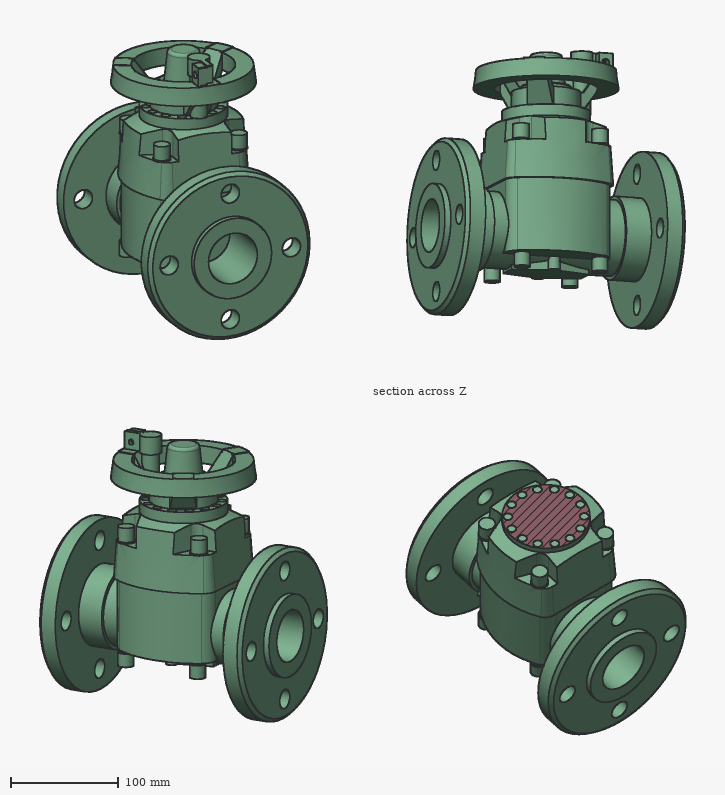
import cadquery as cq
import math


end_x = 115.0
flange_radius = 82.5
flange_outer_x = 109.0
flange_inner_x = 90.5
flange_chamfer = 3.5
raised_face_radius = 39.5
sleeve_radius = 39.2
sleeve_inner_x = 65.5
pipe_radius = 35.9
bore_radius = 24.8
bore_end_x = 51.2
flange_hole_radius = 9.2
flange_hole_circle = 62.2
flange_hole_count = 4

body_half_x = 51.5
body_half_y = 55.8
body_corner_y = 38.0
body_bottom = -26.5
body_corner_fillet = 15.4
bonnet_corner_fillet = 12.8
parting_z = 42.5
bonnet_side_overhang = 2.0
bonnet_front_overhang = 2.8
bonnet_draft = 4.0
neck_radius = 41.2
neck_base = 104.5
neck_top = 115.3
roof_slope = 0.33

bolt_offset = 39.2
bolt_head_radius = 7.7
bolt_washer_radius = 8.2
bolt_washer_height = 1.3
bolt_top = 94.0
nut_x = 38.7
nut_y = 40.5
nut_radius = 7.5
nut_bottom = -41.0
nut_neck_radius = 6.7
nut_gap = 1.5
pocket_floor = 79.0
pocket_side_y = 27.2
pocket_fillet_x = 36.5
pocket_wall_angle = 20.0
pocket_fillet = 10.0

foot_bottom = -38.5
foot_half_x = 38.5
foot_end_half_y = 11.3
foot_middle_half_y = 21.8
foot_boss_radius = 5.6

index_count = 14
index_radius = 4.0
index_circle = 35.5
index_depth = 5.5

hub_radius = 32.3
hub_top = 133.7
rim_bottom = 137.3
rim_top = 154.5
rim_bottom_radius = 68.0
rim_top_radius = 65.5
rim_inner_radius = 48.5
spoke_top = 155.2
spoke_foot = 116.5
spoke_start = 32.8
spoke_inner_width = 25.0
spoke_outer_width = 19.5
spoke_count = 3

collar_radius = 23.5
collar_top = 139.3
collar_chamfer = 1.0
stem_base_radius = 18.2
stem_top_radius = 14.9
stem_top = 169.8
stem_fillet = 3.5

lock_x = 35.5
lock_head_radius = 10.2
lock_pin_radius = 8.2
lock_top = 173.7
lock_head_bottom = 156.5
lug_end_x = 62.2
lug_start_x = 48.5
lug_front_y = -12.0
lug_back_y = -3.0
lug_top = 173.0
lug_chamfer = 0.8
strap_back_y = 2.8
lug_hole_radius = 3.3
strap_hole_radius = 2.5
lug_hole_x = 55.0
lug_hole_z = 164.0


def cylinder(radius, bottom, top, x=0, y=0):
    return cq.Workplane("XY", origin=(x, y, bottom)).circle(radius).extrude(top - bottom)


def box(x_range, y_range, z_range):
    size = [high - low for low, high in (x_range, y_range, z_range)]
    corner = (x_range[0], y_range[0], z_range[0])
    return cq.Workplane("XY").box(*size, centered=False).translate(corner)


def four_corners(shape):
    """The shape and its mirror images in the XZ and YZ planes."""
    pair = shape.union(shape.mirror("XZ"))
    return pair.union(pair.mirror("YZ"))


def rounded_block(z_range, half_x, corner_y, half_y, corner_fillet):
    """Block with flat sides in X, bulging sides in Y and rounded upright edges."""
    bottom, top = z_range
    sharp = (
        cq.Workplane("XY", origin=(0, 0, bottom))
        .moveTo(-half_x, -corner_y)
        .threePointArc((0, -half_y), (half_x, -corner_y))
        .lineTo(half_x, corner_y)
        .threePointArc((0, half_y), (-half_x, corner_y))
        .close()
        .extrude(top - bottom)
    )
    return sharp.edges("|Z").fillet(corner_fillet)


def pipe_end():
    """Pipe, sleeve, bolted flange and raised face on the +X side."""
    profile = [
        (0, 0),
        (0, pipe_radius),
        (sleeve_inner_x, pipe_radius),
        (sleeve_inner_x, sleeve_radius),
        (flange_inner_x, sleeve_radius),
        (flange_inner_x, flange_radius),
        (flange_outer_x - flange_chamfer, flange_radius),
        (flange_outer_x, flange_radius - flange_chamfer),
        (flange_outer_x, raised_face_radius),
        (end_x, raised_face_radius),
        (end_x, 0),
    ]
    turned = cq.Workplane("XY").polyline(profile).close().revolve(360, (0, 0, 0), (1, 0, 0))
    holes = (
        cq.Workplane("YZ", origin=(flange_inner_x, 0, 0))
        .polarArray(flange_hole_circle, 0, 360, flange_hole_count)
        .circle(flange_hole_radius)
        .extrude(flange_outer_x - flange_inner_x)
    )
    return turned.cut(holes)


def bore():
    return cq.Workplane("YZ", origin=(bore_end_x, 0, 0)).circle(bore_radius).extrude(end_x - bore_end_x)


def body():
    return rounded_block(
        (body_bottom, parting_z), body_half_x, body_corner_y, body_half_y, body_corner_fillet
    )


def corner_pocket():
    """Recess in the (-X, -Y) corner of the bonnet, open to both faces."""
    angle = math.radians(pocket_wall_angle)
    center_y = -pocket_side_y - pocket_fillet
    tangent_x = -pocket_fillet_x + pocket_fillet * math.cos(angle)
    tangent_y = center_y + pocket_fillet * math.sin(angle)
    middle = math.radians((pocket_wall_angle + 90) / 2)
    middle_x = -pocket_fillet_x + pocket_fillet * math.cos(middle)
    middle_y = center_y + pocket_fillet * math.sin(middle)
    outside = 2 * body_half_x
    front_x = tangent_x + (outside + tangent_y) * math.tan(angle)
    return (
        cq.Workplane("XY", origin=(0, 0, pocket_floor))
        .moveTo(-outside, -pocket_side_y)
        .lineTo(-pocket_fillet_x, -pocket_side_y)
        .threePointArc((middle_x, middle_y), (tangent_x, tangent_y))
        .lineTo(front_x, -outside)
        .lineTo(-outside, -outside)
        .close()
        .extrude(neck_top - pocket_floor)
    )


def bonnet():
    """Tapered cover with a conical roof and a pocket at each corner."""
    height = neck_base - parting_z
    straight_block = rounded_block(
        (parting_z, neck_base),
        body_half_x + bonnet_side_overhang,
        body_corner_y + bonnet_front_overhang,
        body_half_y + bonnet_front_overhang,
        bonnet_corner_fillet,
    )
    base_wire = straight_block.faces("<Z").wires().val()
    block = (
        cq.Workplane("XY", origin=(0, 0, parting_z))
        .newObject([base_wire])
        .toPending()
        .extrude(height, taper=bonnet_draft)
    )
    roof_radius = 2 * body_half_x
    roof_edge_z = neck_base - roof_slope * (roof_radius - neck_radius)
    roof_profile = [
        (0, parting_z),
        (roof_radius, parting_z),
        (roof_radius, roof_edge_z),
        (neck_radius, neck_base),
        (0, neck_base),
    ]
    roof = cq.Workplane("XZ").polyline(roof_profile).close().revolve()
    return block.intersect(roof).cut(four_corners(corner_pocket()))


def corner_bolts():
    """Bolt heads in the bonnet pockets and nuts under the body."""
    washer_top = pocket_floor + bolt_washer_height
    head = cylinder(bolt_head_radius, pocket_floor, bolt_top, -bolt_offset, -bolt_offset)
    washer = cylinder(bolt_washer_radius, pocket_floor, washer_top, -bolt_offset, -bolt_offset)
    nut = cylinder(nut_radius, nut_bottom, body_bottom - nut_gap, -nut_x, -nut_y)
    nut_neck = cylinder(nut_neck_radius, nut_bottom, body_bottom, -nut_x, -nut_y)
    return four_corners(head.union(washer).union(nut).union(nut_neck))


def foot():
    """Mounting foot tapering along X, with a round boss on each broad side."""
    outline = [
        (-foot_half_x, -foot_end_half_y),
        (0, -foot_middle_half_y),
        (foot_half_x, -foot_end_half_y),
        (foot_half_x, foot_end_half_y),
        (0, foot_middle_half_y),
        (-foot_half_x, foot_end_half_y),
    ]
    shape = cq.Workplane("XY", origin=(0, 0, foot_bottom)).polyline(outline).close()
    shape = shape.extrude(body_bottom - foot_bottom)
    for y in (-foot_middle_half_y, foot_middle_half_y):
        shape = shape.union(cylinder(foot_boss_radius, foot_bottom, body_bottom, 0, y))
    return shape


def neck():
    """Round neck with a ring of blind index holes in its top face."""
    holes = (
        cq.Workplane("XY", origin=(0, 0, neck_top - index_depth))
        .polarArray(index_circle, 0, 360, index_count)
        .circle(index_radius)
        .extrude(index_depth)
    )
    return cylinder(neck_radius, neck_base, neck_top).cut(holes)


def spoke():
    """Rising spoke on the +X side, ending in a pad set into the rim."""
    rim_middle = (rim_inner_radius + rim_top_radius) / 2
    rise = spoke_top - hub_top
    slope = rise / (rim_inner_radius - spoke_start)
    under_end_z = spoke_foot + slope * (rim_middle - spoke_start)
    side_profile = [
        (0, spoke_foot),
        (spoke_start, spoke_foot),
        (rim_middle, under_end_z),
        (rim_middle, spoke_top),
        (rim_inner_radius, spoke_top),
        (spoke_start, hub_top),
        (0, hub_top),
    ]
    side = (
        cq.Workplane("XZ")
        .polyline(side_profile)
        .close()
        .extrude(spoke_inner_width / 2, both=True)
    )
    hub_chord_x = math.sqrt(hub_radius**2 - (spoke_inner_width / 2) ** 2)
    plan = (
        cq.Workplane("XY", origin=(0, 0, spoke_foot))
        .moveTo(hub_chord_x, -spoke_inner_width / 2)
        .lineTo(rim_inner_radius, -spoke_outer_width / 2)
        .lineTo(rim_middle, -spoke_outer_width / 2)
        .lineTo(rim_middle, spoke_outer_width / 2)
        .lineTo(rim_inner_radius, spoke_outer_width / 2)
        .lineTo(hub_chord_x, spoke_inner_width / 2)
        .close()
        .extrude(spoke_top - spoke_foot)
    )
    half_width = spoke_outer_width / 2
    pad = box((rim_inner_radius, rim_bottom_radius), (-half_width, half_width), (rim_bottom, spoke_top))
    return side.intersect(plan).union(pad.intersect(cylinder(rim_top_radius, rim_bottom, spoke_top)))


def handwheel():
    rim_profile = [
        (rim_inner_radius, rim_bottom),
        (rim_bottom_radius, rim_bottom),
        (rim_top_radius, rim_top),
        (rim_inner_radius, rim_top),
    ]
    wheel = cq.Workplane("XZ").polyline(rim_profile).close().revolve()
    wheel = wheel.union(cylinder(hub_radius, neck_top, hub_top))
    for i in range(spoke_count):
        wheel = wheel.union(spoke().rotate((0, 0, 0), (0, 0, 1), i * 360 / spoke_count))
    return wheel


def stem():
    """Collar on the hub carrying a tapered, round-topped stem."""
    collar = cylinder(collar_radius, hub_top, collar_top).faces(">Z").chamfer(collar_chamfer)
    profile = [
        (0, hub_top),
        (stem_base_radius, hub_top),
        (stem_base_radius, collar_top),
        (stem_top_radius, stem_top),
        (0, stem_top),
    ]
    post = cq.Workplane("XZ").polyline(profile).close().revolve()
    return collar.union(post.faces(">Z").edges().fillet(stem_fillet))


def chamfered_tip(bar):
    return bar.edges("|Y and >X and >Z").chamfer(lug_chamfer)


def cross_hole(radius, front_y, back_y):
    """Hole tool along Y through the lug or the strap behind it."""
    center = (lug_hole_x, back_y, lug_hole_z)
    return cq.Workplane("XZ", origin=center).circle(radius).extrude(back_y - front_y)


def locking_pin():
    """Upright pin beside the hub, with a pierced lug resting on the rim."""
    pin = cylinder(lock_pin_radius, neck_top, lock_head_bottom, lock_x)
    head = cylinder(lock_head_radius, lock_head_bottom, lock_top, lock_x)
    strap = chamfered_tip(
        box((lock_x, lug_end_x), (lug_back_y, strap_back_y), (lock_head_bottom, lock_top))
    )
    lug = chamfered_tip(
        box((lug_start_x, lug_end_x), (lug_front_y, lug_back_y), (rim_top, lug_top))
    )
    strap = strap.cut(cross_hole(strap_hole_radius, lug_back_y, strap_back_y))
    lug = lug.cut(cross_hole(lug_hole_radius, lug_front_y, lug_back_y))
    return pin.union(head).union(strap).union(lug)


right_end = pipe_end()
result = right_end.union(right_end.mirror("YZ")).union(body())
for part in (bonnet(), corner_bolts(), foot(), neck(), handwheel(), stem(), locking_pin()):
    result = result.union(part)
result = result.cut(bore()).cut(bore().mirror("YZ"))